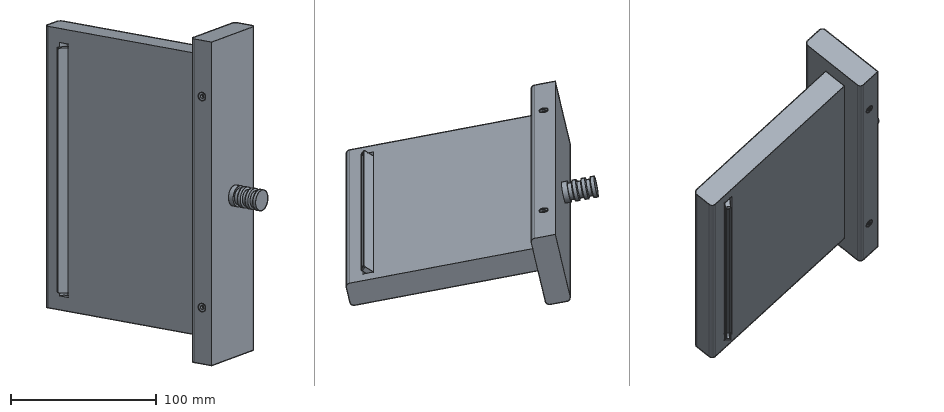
import cadquery as cq

total_length = 173.2
plate_thickness = 17.5
edge_radius = 3.0

flange_height = 230.0
flange_width = 52.2

panel_length = 133.0
panel_height = 200.0
panel_offset_y = -2.3

shank_diameter = 14.7
shank_core_diameter = 11.7
shank_offset_y = 1.4
collar_length = 4.0
ring_count = 3
ring_pitch = 6.5
ring_crest_width = 2.5
ring_taper_width = 0.7

screw_spacing = 150.0
screw_setback = 9.2
screw_head_diameter = 6.0
screw_head_depth = 0.5
screw_hole_diameter = 2.5
screw_hole_depth = 2.8

pocket_start_x = 12.2
pocket_width = 7.4
pocket_height = 180.0
pocket_depth = 4.0

blade_height = 174.0
blade_thickness = 3.7
blade_length = 11.5
blade_angle = 47
blade_tip_x = 12.6
blade_reach = 3.0
blade_bevel_depth = 1.0
blade_bevel_height = 0.5
blade_slot_width = 1.8
blade_slot_depth = 4.5
blade_slot_end_margin = 2.3

panel_front_y = panel_offset_y - plate_thickness / 2
flange_front_y = -flange_width / 2
flange_back_x = panel_length + plate_thickness
flange_center_x = panel_length + plate_thickness / 2
screw_x = panel_length + screw_setback


def make_panel():
    """Panel with its two free vertical edges rounded."""
    panel = cq.Workplane("XY").box(panel_length, plate_thickness, panel_height)
    panel = panel.edges("|Z and <X").fillet(edge_radius)
    return panel.translate((panel_length / 2, panel_offset_y, 0))


def make_flange():
    """Flange with three rounded vertical edges; the back edge beside the screws stays sharp."""
    flange = cq.Workplane("XY").box(plate_thickness, flange_width, flange_height)
    flange = flange.edges("|Z and (<X or >Y)").fillet(edge_radius)
    return flange.translate((flange_center_x, 0, 0))


def make_shank():
    """Round shank: a straight collar, then tapered rings, the last one flush with the end."""
    crest_radius = shank_diameter / 2
    core_radius = shank_core_diameter / 2
    collar_end_x = flange_back_x + collar_length
    outline = [
        (flange_back_x, 0),
        (flange_back_x, crest_radius),
        (collar_end_x, crest_radius),
        (collar_end_x, core_radius),
    ]
    last_crest_x = total_length - ring_crest_width
    for rings_behind in range(ring_count - 1, 0, -1):
        crest_start_x = last_crest_x - rings_behind * ring_pitch
        crest_end_x = crest_start_x + ring_crest_width
        outline += [
            (crest_start_x - ring_taper_width, core_radius),
            (crest_start_x, crest_radius),
            (crest_end_x, crest_radius),
            (crest_end_x + ring_taper_width, core_radius),
        ]
    outline += [
        (last_crest_x - ring_taper_width, core_radius),
        (last_crest_x, crest_radius),
        (total_length, crest_radius),
        (total_length, 0),
    ]
    shank = cq.Workplane("XY").polyline(outline).close()
    shank = shank.revolve(360, (0, 0, 0), (1, 0, 0))
    return shank.translate((0, shank_offset_y, 0))


def make_pocket():
    """Flat-bottomed pocket whose wall nearest the free edge curves into the floor."""
    section = cq.Workplane("XY", origin=(pocket_start_x, panel_front_y, -pocket_height / 2))
    section = section.radiusArc((pocket_depth, pocket_depth), pocket_depth)
    section = section.lineTo(pocket_width, pocket_depth).lineTo(pocket_width, 0)
    return section.close().extrude(pocket_height)


def make_blade():
    """Slanted bar with bevelled tip ends and a narrow slot along the tip face."""
    blade = cq.Workplane("XY").box(
        blade_length, blade_thickness, blade_height, centered=(False, True, True)
    )
    end_faces = blade.faces("<Z or >Z")
    blade = end_faces.edges("<X").chamfer(blade_bevel_height, blade_bevel_depth)
    slot = cq.Workplane("XY").box(
        blade_slot_depth,
        blade_slot_width,
        blade_height - 2 * blade_slot_end_margin,
        centered=(False, True, True),
    )
    blade = blade.cut(slot).rotate((0, 0, 0), (0, 0, 1), blade_angle)
    return blade.translate((blade_tip_x, panel_front_y - blade_reach, 0))


def make_screw_holes():
    centers = [(screw_x, side * screw_spacing / 2) for side in (-1, 1)]
    face = cq.Workplane("XZ", origin=(0, flange_front_y, 0)).pushPoints(centers)
    heads = face.circle(screw_head_diameter / 2).extrude(-screw_head_depth)
    holes = face.circle(screw_hole_diameter / 2).extrude(-screw_hole_depth)
    return heads.union(holes)


result = make_panel().cut(make_pocket()).union(make_blade())
result = result.union(make_flange()).cut(make_screw_holes()).union(make_shank())